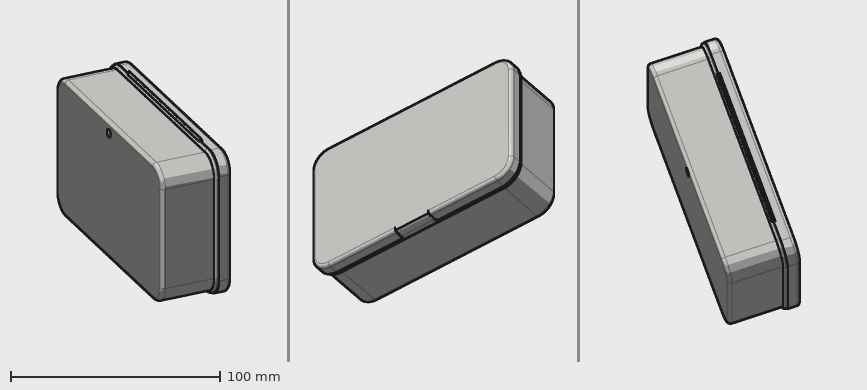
import cadquery as cq
import math

case_width = 120.8
case_height = 75.5
case_depth = 36.2

lid_thickness = 6.6
lid_corner_radius = 10.0
lid_back_fillet = 1.9
parting_y = case_depth - lid_thickness

rim_overhang = 1.3
rim_thickness = 1.9
rim_fillet = 1.1
box_corner_radius = 10.0
box_front_fillet = 1.9
box_width = case_width - 2 * rim_overhang
box_height = case_height - 2 * rim_overhang
rim_corner_radius = box_corner_radius + rim_overhang

hinge_length = 79.9
hinge_rise = 1.6
hinge_half_base = rim_thickness - rim_fillet

tab_width = 20.0
tab_drop = 1.2
tab_flat_depth = 2.5
tab_back_rise = 1.2
tab_edge_fillet = 0.6
notch_clearance = 0.5
notch_depth = 0.6

dimple_radius = 2.0
dimple_depth = 0.6
dimple_floor_radius = 0.6
dimple_below_box_top = 6.0

case_top = case_height / 2
case_bottom = -case_height / 2


def rounded_block(width, height, corner_radius, front_y, back_y):
    """Block centred on X and Z, with rounded corners, between two Y planes."""
    return (
        cq.Workplane("XZ", origin=(0, back_y, 0))
        .rect(width, height)
        .extrude(back_y - front_y)
        .edges("|Y")
        .fillet(corner_radius)
    )


def extrude_along_x(profile, length):
    """Extrude a YZ profile by a length that is centred on X = 0."""
    return profile.extrude(length / 2, both=True)


def hinge_half(base_y):
    """Part of the hinge ridge that slopes from its crest on the parting plane down to base_y."""
    profile = (
        cq.Workplane("YZ")
        .moveTo(parting_y, case_top - rim_overhang)
        .lineTo(parting_y, case_top + hinge_rise)
        .lineTo(base_y, case_top)
        .lineTo(base_y, case_top - rim_overhang)
        .close()
    )
    return extrude_along_x(profile, hinge_length)


def opening_tab():
    """Tab below the lid, its underside curving up to the back face."""
    tab_bottom = case_bottom - tab_drop
    tab_top = case_bottom + lid_back_fillet
    curve_start_y = parting_y + tab_flat_depth
    curve_run = case_depth - curve_start_y
    curve_radius = (curve_run**2 + tab_back_rise**2) / (2 * tab_back_rise)
    half_angle = math.asin(curve_run / curve_radius) / 2
    curve_middle = (
        curve_start_y + curve_radius * math.sin(half_angle),
        tab_bottom + curve_radius * (1 - math.cos(half_angle)),
    )
    profile = (
        cq.Workplane("YZ")
        .moveTo(parting_y, tab_top)
        .lineTo(parting_y, tab_bottom)
        .lineTo(curve_start_y, tab_bottom)
        .threePointArc(curve_middle, (case_depth, tab_bottom + tab_back_rise))
        .lineTo(case_depth, tab_top)
        .close()
    )
    tab = extrude_along_x(profile, tab_width)
    lower_end_edges = tab.faces("<X or >X").edges("not (>Z or |Z)")
    return lower_end_edges.fillet(tab_edge_fillet)


def make_lid():
    lid = rounded_block(case_width, case_height, lid_corner_radius, parting_y, case_depth)
    lid = lid.faces(">Y").edges().fillet(lid_back_fillet)
    return lid.union(hinge_half(parting_y + hinge_half_base)).union(opening_tab())


def rim_notch():
    """Shallow cut in the lower edge of the rim, a little wider than the tab."""
    notch_width = tab_width + 2 * notch_clearance
    return (
        cq.Workplane("XZ", origin=(0, parting_y, case_bottom))
        .rect(notch_width, 2 * notch_depth)
        .extrude(rim_thickness)
    )


def front_dimple():
    """Spherical hollow with a small flat floor, revolved about an axis along Y."""
    centre_offset = (dimple_radius**2 - dimple_floor_radius**2 - dimple_depth**2) / (2 * dimple_depth)
    sphere_radius = math.hypot(dimple_radius, centre_offset)
    rim_angle = math.atan2(centre_offset, dimple_radius)
    floor_angle = math.atan2(centre_offset + dimple_depth, dimple_floor_radius)
    middle_angle = (rim_angle + floor_angle) / 2
    arc_middle = (
        sphere_radius * math.cos(middle_angle),
        sphere_radius * math.sin(middle_angle) - centre_offset,
    )
    dimple_z = box_height / 2 - dimple_below_box_top
    return (
        cq.Workplane("XY")
        .lineTo(dimple_radius, 0)
        .threePointArc(arc_middle, (dimple_floor_radius, dimple_depth))
        .lineTo(0, dimple_depth)
        .close()
        .revolve(360, (0, 0, 0), (0, 1, 0))
        .translate((0, 0, dimple_z))
    )


def make_box():
    box = rounded_block(box_width, box_height, box_corner_radius, 0, parting_y)
    box = box.faces("<Y").edges().fillet(box_front_fillet)
    rim = rounded_block(case_width, case_height, rim_corner_radius, parting_y - rim_thickness, parting_y)
    rim = rim.faces("<Y").edges().fillet(rim_fillet)
    box = box.union(rim).union(hinge_half(parting_y - hinge_half_base))
    return box.cut(rim_notch()).cut(front_dimple())


lid = make_lid()
box = make_box()

result = cq.Compound.makeCompound([lid.val(), box.val()])